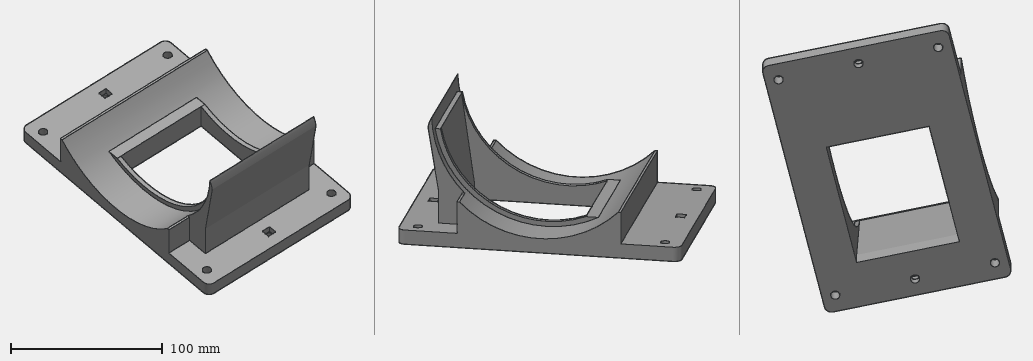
import cadquery as cq
import math

base_length = 190.0
base_width = 126.0
base_height = 10.0
corner_radius = 5.0

cradle_radius = 75.6
axis_height = base_height + cradle_radius
cradle_half_length = 55.0
cradle_height = 32.0

wall_width = 90.0
wall_foot_x = 71.0
wall_bend_height = 33.0
wall_back_x = 78.0
wall_shoulder_height = 76.0
wall_top_height = 83.0
wall_top_bulge = 0.5

rim_width = 76.0
rim_thickness = 3.5
rim_radius = cradle_radius - rim_thickness
rim_start_x = -35.0
rim_top_height = 73.3
rim_root_depth = 1.0

window_width = 69.5
window_rear_x = 62.2

hole_diameter = 6.0
hole_x = 83.0
hole_y = 54.0
square_size = 6.2
square_depth = 4.5


def arc_x(radius, height):
    """Distance from the mid plane to a circle about the cradle axis at a height."""
    return math.sqrt(radius**2 - (axis_height - height) ** 2)


def arc_height(radius, x):
    """Height of the lower half of a circle about the cradle axis at a given x."""
    return axis_height - math.sqrt(radius**2 - x**2)


rim_start_height = arc_height(cradle_radius, rim_start_x)
rim_end_x = arc_x(rim_radius, rim_top_height)
window_front_x = -arc_x(rim_radius, rim_start_height)


def extrude_across(profile, width):
    """Extrude a closed XZ profile symmetrically about the Y = 0 plane."""
    return profile.close().extrude(width / 2, both=True)


def make_base():
    plate = cq.Workplane("XY").box(base_length, base_width, base_height, centered=(True, True, False))
    return plate.edges("|Z").fillet(corner_radius)


def make_cradle_block():
    return cq.Workplane("XY").box(
        2 * cradle_half_length, base_width, cradle_height, centered=(True, True, False)
    )


def make_wall_block():
    top_x = arc_x(cradle_radius, wall_top_height)
    crown_x = (wall_back_x + top_x) / 2 + wall_top_bulge
    crown_height = (wall_shoulder_height + wall_top_height) / 2
    profile = (
        cq.Workplane("XZ")
        .lineTo(wall_foot_x, 0)
        .lineTo(wall_foot_x, wall_bend_height)
        .lineTo(wall_back_x, wall_shoulder_height)
        .threePointArc((crown_x, crown_height), (top_x, wall_top_height))
        .lineTo(0, wall_top_height)
    )
    return extrude_across(profile, wall_width)


def make_bore():
    circle = cq.Workplane("XZ").center(0, axis_height).circle(cradle_radius)
    return circle.extrude(base_width, both=True)


def make_rim():
    """The rim's outer arc lies below the cradle surface so that the rim is rooted in the body."""
    root_radius = cradle_radius + rim_root_depth
    profile = (
        cq.Workplane("XZ")
        .moveTo(rim_start_x, rim_start_height)
        .lineTo(window_front_x, rim_start_height)
        .threePointArc((0, axis_height - rim_radius), (rim_end_x, rim_top_height))
        .lineTo(arc_x(root_radius, rim_top_height), rim_top_height)
        .threePointArc((0, axis_height - root_radius), (rim_start_x, arc_height(root_radius, rim_start_x)))
    )
    return extrude_across(profile, rim_width)


def make_window():
    profile = (
        cq.Workplane("XZ")
        .moveTo(window_front_x, 0)
        .lineTo(window_rear_x, 0)
        .lineTo(window_rear_x, base_height)
        .lineTo(rim_end_x, rim_top_height)
        .lineTo(window_front_x, rim_top_height)
    )
    return extrude_across(profile, window_width)


def make_holes():
    places = [(x, y) for x in (-hole_x, hole_x) for y in (-hole_y, 0, hole_y)]
    return cq.Workplane("XY").pushPoints(places).circle(hole_diameter / 2).extrude(base_height)


def make_square_pockets():
    pocket_floor = cq.Workplane("XY").workplane(offset=base_height - square_depth)
    places = [(-hole_x, 0), (hole_x, 0)]
    return pocket_floor.pushPoints(places).rect(square_size, square_size).extrude(square_depth)


body = make_base().union(make_cradle_block()).union(make_wall_block())
body = body.cut(make_bore()).union(make_rim())
result = body.cut(make_window()).cut(make_holes()).cut(make_square_pockets())